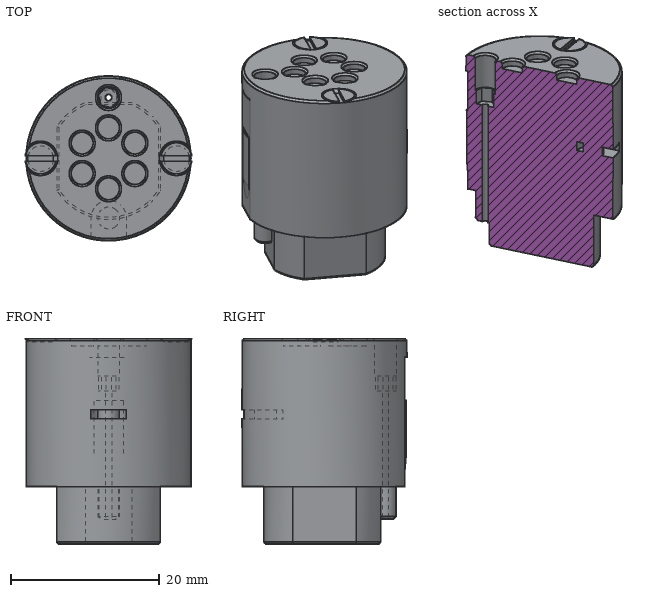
import cadquery as cq
import math

body_diameter = 22.23
body_radius = body_diameter / 2
body_length = 19.95
body_chamfer = 0.3

total_length = 27.69
boss_radius = 8.2
boss_width = 14.0
boss_back_flat_y = 7.58
boss_chamfer = 0.3
boss_length = total_length - body_length

socket_count = 6
socket_circle_radius = 4.1
socket_diameter = 2.95
socket_depth = 1.0
hole_mouth_diameter = 3.5
hole_chamfer = (hole_mouth_diameter - socket_diameter) / 2

key_y = 8.19
key_diameter = 2.95
key_tip_z = -24.33
key_chamfer = 0.4
key_hole_depth = 5.0
hex_corner_diameter = 2.85
hex_angle = 45.0
hex_depth = 2.0
key_bore_diameter = 0.84

screw_overall_width = 22.45
screw_head_radius = 2.1
driver_slot_width = 0.75
screw_x = screw_overall_width / 2 - math.sqrt(screw_head_radius**2 - (driver_slot_width / 2) ** 2)
countersink_radius = 4.65 / 2
countersink_depth = 0.42
countersink_floor_radius = 1.72

window_width = 4.75
window_top_z = -9.6
window_height = 1.2
window_end_y = -8.0
post_radius = 2.95 / 2

flat_y = 10.82
flat_top_z = -2.5
latch_radius = 11.05
latch_width = 4.0
latch_root = 0.5
latch_top_z = -8.3
latch_taper_z = -15.4
latch_bottom_z = -17.8


def cylinder(radius, height, x, y, bottom_z):
    return cq.Workplane("XY", origin=(x, y, bottom_z)).circle(radius).extrude(height)


def top_cone(x, y, top_radius, bottom_radius, depth):
    """Frustum whose wide end lies in the top face."""
    solid = cq.Solid.makeCone(top_radius, bottom_radius, depth, cq.Vector(x, y, 0), cq.Vector(0, 0, -1))
    return cq.Workplane(obj=solid)


def chamfered_hole(x, y, diameter, depth):
    bore = cylinder(diameter / 2, depth, x, y, -depth)
    mouth = top_cone(x, y, hole_mouth_diameter / 2, diameter / 2, hole_chamfer)
    return bore.union(mouth)


def make_barrel():
    barrel = cylinder(body_radius, body_length, 0, 0, -body_length)
    return barrel.faces(">Z").chamfer(body_chamfer)


def make_boss():
    boss = cylinder(boss_radius, boss_length, 0, 0, -total_length)
    boss_depth = boss_radius + boss_back_flat_y
    envelope = (
        cq.Workplane("XY", origin=(0, boss_back_flat_y - boss_depth / 2, -total_length))
        .rect(boss_width, boss_depth)
        .extrude(boss_length)
    )
    return boss.intersect(envelope).faces("<Z").chamfer(boss_chamfer)


def make_key_pin():
    pin = cylinder(key_diameter / 2, -body_length - key_tip_z, 0, key_y, key_tip_z)
    return pin.faces("<Z").chamfer(key_chamfer)


def cut_key_hole(part):
    hexagon = (
        cq.Workplane("XY", origin=(0, key_y, -key_hole_depth))
        .transformed(rotate=(0, 0, hex_angle))
        .polygon(6, hex_corner_diameter)
        .extrude(-hex_depth)
    )
    bore = cylinder(key_bore_diameter / 2, -key_tip_z, 0, key_y, key_tip_z)
    return part.cut(chamfered_hole(0, key_y, key_diameter, key_hole_depth)).cut(hexagon).cut(bore)


def cut_sockets(part):
    for index in range(socket_count):
        angle = math.pi / 2 + index * 2 * math.pi / socket_count
        x = socket_circle_radius * math.cos(angle)
        y = socket_circle_radius * math.sin(angle)
        part = part.cut(chamfered_hole(x, y, socket_diameter, socket_depth))
    return part


def fit_screw(part, x):
    countersink = top_cone(x, 0, countersink_radius, countersink_floor_radius, countersink_depth)
    head = top_cone(x, 0, screw_head_radius, countersink_floor_radius, countersink_depth)
    driver_slot = (
        cq.Workplane("XY", origin=(x, 0, -countersink_depth))
        .rect(2 * screw_head_radius, driver_slot_width)
        .extrude(countersink_depth)
    )
    return part.cut(countersink).union(head.cut(driver_slot))


def cut_window(part):
    bottom_z = window_top_z - window_height
    mouth_length = body_radius + window_end_y
    mouth = (
        cq.Workplane("XY", origin=(0, window_end_y - mouth_length / 2, bottom_z))
        .rect(window_width, mouth_length)
        .extrude(window_height)
    )
    round_end = cylinder(window_width / 2, window_height, 0, window_end_y, bottom_z)
    post = cylinder(post_radius, window_height, 0, window_end_y, bottom_z)
    return part.cut(mouth.union(round_end).cut(post))


def cut_back_flat(part):
    flat_depth = body_radius - flat_y
    block = (
        cq.Workplane("XY", origin=(0, flat_y + flat_depth / 2, -body_length))
        .rect(body_diameter, flat_depth)
        .extrude(body_length + flat_top_z)
    )
    return part.cut(block)


def add_latch(part):
    root_radius = flat_y - latch_root
    profile = [
        (root_radius, latch_top_z),
        (latch_radius, latch_top_z),
        (latch_radius, latch_taper_z),
        (flat_y, latch_bottom_z),
        (root_radius, latch_bottom_z),
    ]
    ring = cq.Workplane("XZ").polyline(profile).close().revolve(360, (0, 0, 0), (0, 1, 0))
    strip = (
        cq.Workplane("XY", origin=(0, body_radius / 2, -body_length))
        .rect(latch_width, body_radius)
        .extrude(body_length)
    )
    return part.union(ring.intersect(strip))


result = make_barrel().union(make_boss()).union(make_key_pin())
result = cut_sockets(result)
result = cut_key_hole(result)
for side in (-1, 1):
    result = fit_screw(result, side * screw_x)
result = cut_window(result)
result = cut_back_flat(result)
result = add_latch(result)